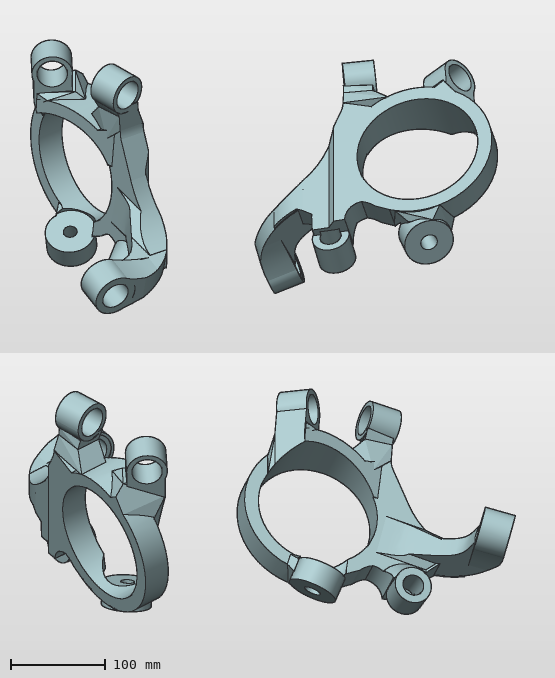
import cadquery as cq
import math

RING_RADIUS = 80.25
BORE_RADIUS = 65.0
RING_FRONT_Y = -30.0
WEB_BACK_Y = -10.0
FAR = 300.0
HOLE_OVERRUN = 5.0

LEFT_BOSS_BACK = cq.Vector(-38.9, -33.0, 110.9)
LEFT_BOSS_FRONT = cq.Vector(-11.5, -51.8, 108.3)
LEFT_BOSS_RADIUS = 21.5
LEFT_HOLE_RADIUS = 16.0
POST_SIDE = 19.2
POST_REAR = 21.3
POST_BREAK_DROP = 34.5
POST_FOOT_SIDE = 9.0
POST_DROP = 80.0

SHOULDER_REACH = 80.0
SHOULDER_EDGE_X = 62.5
SHOULDER_LEAN = 0.115
SHOULDER_SLOPE = 0.36

TOP_BOSS_LEFT = cq.Vector(51.2, -28.6, 118.1)
TOP_BOSS_RIGHT = cq.Vector(83.6, -23.0, 115.0)
TOP_BOSS_RADIUS = 21.5
TOP_HOLE_RADIUS = 16.0

ARM_BOSS_RADIUS = 23.4
ARM_HOLE_RADIUS = 15.2
ARM_RECESS_RADIUS = 20.2
ARM_RECESS_DEPTH = 1.0

LUG_FRONT = cq.Vector(97.6, -54.0, -91.0)
LUG_LENGTH = 35.0
LUG_TILT = math.radians(9.0)
LUG_RADIUS = 19.8
LUG_HOLE_RADIUS = 11.3
LUG_COLLAR = 8.5
LUG_CONE_LENGTH = 19.5
LUG_CONE_RADIUS = 34.5

DISC_TOP = cq.Vector(2.1, -38.3, -78.2)
DISC_BOTTOM = cq.Vector(-6.2, -30.2, -101.2)
DISC_RADIUS = 26.5
DISC_TOP_HOLE_RADIUS = 7.2
DISC_BOTTOM_HOLE_RADIUS = 9.0
SPOTFACE_RADIUS = 27.6
SPOTFACE_HEIGHT = 40.0

ARM_SLOPE = math.radians(13.2)
ARM_ALONG = cq.Vector(math.cos(ARM_SLOPE), 0, -math.sin(ARM_SLOPE))
ARM_ACROSS = cq.Vector(math.sin(ARM_SLOPE), 0, math.cos(ARM_SLOPE))
ARM_ROOT = 72.3
ARM_CENTRE = -8.0
ARM_HALF_WIDTH = 11.0
ARM_FOOT_TOP = 20.5
ARM_FOOT_BOTTOM = -26.8
ARM_FOOT_TOP_Y = -50.0
ARM_FOOT_BOTTOM_Y = -36.0
ARM_BACK_BEND = 128.0
ARM_BACK_MIDDLE = (165.5, -29.0)
ARM_BACK_TIP = (195.5, -77.0)
ARM_INNER_TIP = (159.3, -88.6)
ARM_BAR_END_Y = -105.0
GUSSET_START_Y = -53.0
GUSSET_MIDDLE_Y = -78.5
GUSSET_MIDDLE_HALF_WIDTH = 14.8
GUSSET_TOUCH_ANGLE = math.radians(30)
ARM_BOSS_YAW = 0.115
ARM_BOSS_START = 160.3
ARM_BOSS_END = 193.0
ARM_BOSS_Y = -109.6


def arm_point(along, y, across):
    """Point given by its place along, in front of and across the steering arm."""
    return ARM_ALONG * along + cq.Vector(0, y, 0) + ARM_ACROSS * across


ARM_BOSS_LEFT = arm_point(ARM_BOSS_START, ARM_BOSS_Y, ARM_CENTRE)
ARM_BOSS_RIGHT = arm_point(
    ARM_BOSS_END, ARM_BOSS_Y - ARM_BOSS_YAW * (ARM_BOSS_END - ARM_BOSS_START), ARM_CENTRE
)


def cylinder(start, end, radius, overrun=0.0):
    """Cylinder between two end centres, lengthened at both ends by overrun."""
    axis = (end - start).normalized()
    length = (end - start).Length + 2 * overrun
    return cq.Workplane(obj=cq.Solid.makeCylinder(radius, length, start - axis * overrun, axis))


def convex_hull(corners):
    """Solid with flat faces wrapped around a small set of corner points."""
    points = [cq.Vector(*corner) for corner in corners]
    count = len(points)
    tolerance = 1e-6
    faces = {}
    for i in range(count):
        for j in range(i + 1, count):
            for k in range(j + 1, count):
                normal = (points[j] - points[i]).cross(points[k] - points[i]).normalized()
                heights = [(point - points[i]).dot(normal) for point in points]
                if min(heights) < -tolerance and max(heights) > tolerance:
                    continue
                on_face = [n for n in range(count) if abs(heights[n]) <= tolerance]
                middle = sum((points[n] for n in on_face), cq.Vector()) * (1 / len(on_face))
                start = (points[i] - middle).normalized()
                side = normal.cross(start)
                on_face.sort(
                    key=lambda n: math.atan2((points[n] - middle).dot(side), (points[n] - middle).dot(start))
                )
                wire = cq.Wire.makePolygon([points[n] for n in on_face], close=True)
                faces[frozenset(on_face)] = cq.Face.makeFromWires(wire)
    return cq.Workplane(obj=cq.Solid.makeSolid(cq.Shell.makeShell(list(faces.values()))))


def ring():
    """Plain disc of the bearing ring, before boring."""
    return cq.Workplane("XZ").circle(RING_RADIUS).extrude(-RING_FRONT_Y)


def web_outline():
    """Side web spreading from the ring to the top boss, the steering arm and the lug."""
    return (
        cq.Workplane("XZ")
        .moveTo(40, 60)
        .lineTo(80.2, 72.8)
        .threePointArc((80.6, 67.5), (81.8, 63.1))
        .lineTo(99.4, 21.6)
        .threePointArc((118.0, -7.3), (160.6, -34.4))
        .lineTo(160.6, -56.0)
        .lineTo(132.6, -49.4)
        .threePointArc((123.5, -55.2), (116.0, -60.2))
        .lineTo(115.4, -81.0)
        .lineTo(78.3, -80.0)
        .threePointArc((72.3, -65.5), (60.0, -59.4))
        .threePointArc((51.5, -63.0), (45.6, -67.4))
        .lineTo(30.0, -74.5)
        .close()
    )


def web():
    """Web with its front and back stepped to follow the arm's plan shape."""
    plan = (
        cq.Workplane("XY")
        .moveTo(0, 0)
        .lineTo(90, 0)
        .lineTo(97.5, WEB_BACK_Y)
        .lineTo(125.3, WEB_BACK_Y)
        .threePointArc((145.5, -17.4), (161, -29))
        .lineTo(161, -49.7)
        .lineTo(131.5, -38.7)
        .lineTo(118, RING_FRONT_Y)
        .lineTo(0, RING_FRONT_Y)
        .close()
        .extrude(FAR, both=True)
    )
    return web_outline().extrude(FAR).intersect(plan)


def arm_plan(inner_edge):
    """Solid swept across the arm, its outer side following the arm's back curve."""
    plane = cq.Plane(ARM_ACROSS * -FAR, ARM_ALONG, ARM_ACROSS)
    outer_edge = (
        cq.Workplane(plane)
        .moveTo(ARM_BACK_BEND, WEB_BACK_Y)
        .threePointArc(ARM_BACK_MIDDLE, ARM_BACK_TIP)
    )
    return inner_edge(outer_edge).close().extrude(2 * FAR)


def arm_inner_edge(sketch):
    """Front curve of the arm, leaving the web face almost flush and turning forward."""
    return (
        sketch
        .lineTo(ARM_BOSS_END, ARM_BAR_END_Y)
        .lineTo(ARM_BOSS_START + 2, ARM_BAR_END_Y)
        .lineTo(*ARM_INNER_TIP)
        .spline(
            [(154.2, -71.0), (137.0, -54.0), (108.0, -37.8), (ARM_ROOT, RING_FRONT_Y)],
            tangents=[(-0.15, 1), (-1, 0.1)],
            includeCurrent=True,
        )
        .lineTo(ARM_ROOT, WEB_BACK_Y)
    )


def arm():
    """Curved bar with a foot that tapers from the web face down to the width of the bar."""
    plane = cq.Plane((0, 0, 0), ARM_ACROSS, ARM_ALONG * -1)
    bar = (
        cq.Workplane(plane)
        .center(ARM_CENTRE, 0)
        .rect(2 * ARM_HALF_WIDTH, 2 * FAR)
        .extrude(-FAR)
    )
    foot = (
        cq.Workplane(plane)
        .polyline([
            (ARM_FOOT_TOP, RING_FRONT_Y),
            (ARM_CENTRE + ARM_HALF_WIDTH, ARM_FOOT_TOP_Y),
            (ARM_CENTRE - ARM_HALF_WIDTH, ARM_FOOT_BOTTOM_Y),
            (ARM_FOOT_BOTTOM, RING_FRONT_Y),
        ])
        .close()
        .extrude(-FAR)
        .intersect(web_outline().extrude(FAR))
    )
    return bar.union(foot).intersect(arm_plan(arm_inner_edge))


def arm_boss():
    """Boss at the arm tip with a gusset that widens from the arm to the boss."""
    axis = ARM_BOSS_RIGHT - ARM_BOSS_LEFT
    boss = cylinder(ARM_BOSS_LEFT, ARM_BOSS_RIGHT, ARM_BOSS_RADIUS)
    start_y = ARM_BOSS_Y - GUSSET_START_Y
    touch_across = ARM_BOSS_RADIUS * math.cos(GUSSET_TOUCH_ANGLE)
    touch_y = -ARM_BOSS_RADIUS * math.sin(GUSSET_TOUCH_ANGLE)
    middle_across = GUSSET_MIDDLE_HALF_WIDTH
    middle_y = ARM_BOSS_Y - GUSSET_MIDDLE_Y
    gusset = (
        cq.Workplane(cq.Plane(ARM_BOSS_LEFT, ARM_ACROSS, axis))
        .moveTo(ARM_HALF_WIDTH, start_y)
        .threePointArc((middle_across, middle_y), (touch_across, touch_y))
        .lineTo(-touch_across, touch_y)
        .threePointArc((-middle_across, middle_y), (-ARM_HALF_WIDTH, start_y))
        .close()
        .extrude(axis.Length)
    )
    trim = arm_plan(lambda sketch: sketch.lineTo(ARM_BACK_TIP[0], -FAR).lineTo(ARM_BACK_BEND, -FAR))
    return boss.union(gusset.intersect(trim))


LEFT_AXIS = (LEFT_BOSS_FRONT - LEFT_BOSS_BACK).normalized()
LEFT_LENGTH = (LEFT_BOSS_FRONT - LEFT_BOSS_BACK).Length
LEFT_REAR = cq.Vector(-LEFT_AXIS.y, LEFT_AXIS.x, 0).normalized()
LEFT_PLANE = cq.Plane(LEFT_BOSS_BACK, LEFT_REAR, LEFT_AXIS)


def left_post(rear, length):
    """Upright post under the left boss; its outer side leans inward below the break."""
    return (
        cq.Workplane(LEFT_PLANE)
        .polyline([
            (-POST_SIDE, 0),
            (-POST_SIDE, -POST_BREAK_DROP),
            (-POST_FOOT_SIDE, -POST_DROP),
            (rear, -POST_DROP),
            (rear, 0),
        ])
        .close()
        .extrude(length)
    )


def shoulder():
    """Upper ring and web thickened forward to a slanted front plane."""
    outline = cq.Workplane("XZ").circle(RING_RADIUS).extrude(SHOULDER_REACH)
    outline = outline.union(web_outline().extrude(SHOULDER_REACH))
    behind_web = cq.Workplane("XZ").rect(FAR, FAR).extrude(-WEB_BACK_Y)
    edge = cq.Vector(SHOULDER_EDGE_X, RING_FRONT_Y, 0)
    normal = cq.Vector(SHOULDER_SLOPE, -1, -SHOULDER_SLOPE * SHOULDER_LEAN)
    slanted_plane = cq.Plane(edge, (1, SHOULDER_SLOPE, 0), normal)
    ahead = cq.Workplane(slanted_plane).rect(2 * FAR, 2 * FAR).extrude(FAR)
    return outline.intersect(left_post(FAR, FAR)).cut(behind_web).cut(ahead)


def left_mount():
    """Left boss on its post, with a faceted foot spreading onto the ring."""
    boss = cylinder(LEFT_BOSS_BACK, LEFT_BOSS_FRONT, LEFT_BOSS_RADIUS)
    post = left_post(POST_REAR, LEFT_LENGTH)
    foot = convex_hull([
        (-28, 0, 85.4), (-25, -12, 95.2), (2.5, -31.5, 87), (11.4, -25, 80), (-18.6, 0, 77.8),
        (-51.3, -47.7, 77.3), (-55, -30, 57.5), (-40.8, 0, 68.7), (-55.5, -32, 33),
        (-23, -64.3, 84.8), (-10, -59.4, 79.5), (-24.5, -64.2, 70),
    ])
    return boss.union(post).union(foot).union(shoulder())


def top_mount():
    """Top boss on a faceted neck that narrows to a waist."""
    boss = cylinder(TOP_BOSS_LEFT, TOP_BOSS_RIGHT, TOP_BOSS_RADIUS)
    waist = [(50, -9, 91), (50, -36, 91), (81, -7, 91), (81, -32, 91)]
    lower_neck = convex_hull(waist + [
        (31.3, 0, 73), (31.3, -32, 73), (60, -33, 56.2), (70.9, -30, 72.8), (80.2, -30, 72.8),
        (80.2, 0, 72.8),
    ])
    upper_neck = convex_hull(waist + [
        (51, -13, 101), (51, -42, 101), (81.5, -8, 101), (81.5, -37, 101),
    ])
    return boss.union(lower_neck).union(upper_neck)


LUG_AXIS = cq.Vector(0, math.cos(LUG_TILT), math.sin(LUG_TILT))
LUG_BACK = LUG_FRONT + LUG_AXIS * LUG_LENGTH


def lug():
    """Tilted lug below the web, blended into it by a cone trimmed to the web outline."""
    barrel = cylinder(LUG_FRONT, LUG_BACK, LUG_RADIUS)
    cone_start = LUG_FRONT + LUG_AXIS * LUG_COLLAR
    cone = cq.Workplane(
        obj=cq.Solid.makeCone(LUG_RADIUS, LUG_CONE_RADIUS, LUG_CONE_LENGTH, cone_start, LUG_AXIS)
    )
    return barrel.union(cone.intersect(web_outline().extrude(FAR)))


def disc_mount():
    """Tilted disc below the ring, joined to it by a faceted neck."""
    disc = cylinder(DISC_TOP, DISC_BOTTOM, DISC_RADIUS)
    neck = convex_hull([
        (-30, -30, -60), (31, -30, -58), (-30, 0, -60), (31, 0, -58),
        (-33.5, -30, -72.6), (31, -30, -74), (-24, 0, -77), (24, 0, -77),
        (-23, -38, -69), (-28.5, -38, -85), (18, -39, -82), (-15, -8, -89), (12, -10, -86),
    ])
    return disc.union(neck)


def disc_spotface():
    """Clearance above the disc's upper face."""
    axis = (DISC_TOP - DISC_BOTTOM).normalized()
    return cylinder(DISC_TOP, DISC_TOP + axis * SPOTFACE_HEIGHT, SPOTFACE_RADIUS)


def disc_hole():
    """Tapered hole through the disc, wider at the bottom."""
    axis = DISC_BOTTOM - DISC_TOP
    return cq.Workplane(
        obj=cq.Solid.makeCone(DISC_TOP_HOLE_RADIUS, DISC_BOTTOM_HOLE_RADIUS, axis.Length, DISC_TOP, axis)
    )


body = ring()
for feature in (web(), arm(), arm_boss(), left_mount(), top_mount(), lug(), disc_mount()):
    body = body.union(feature)

bore = cq.Workplane("XZ").circle(BORE_RADIUS).extrude(FAR, both=True)
arm_axis = (ARM_BOSS_RIGHT - ARM_BOSS_LEFT).normalized()
cutters = (
    bore,
    cylinder(LEFT_BOSS_BACK, LEFT_BOSS_FRONT, LEFT_HOLE_RADIUS, HOLE_OVERRUN),
    cylinder(TOP_BOSS_LEFT, TOP_BOSS_RIGHT, TOP_HOLE_RADIUS, HOLE_OVERRUN),
    cylinder(ARM_BOSS_LEFT, ARM_BOSS_RIGHT, ARM_HOLE_RADIUS, HOLE_OVERRUN),
    cylinder(ARM_BOSS_LEFT, ARM_BOSS_LEFT + arm_axis * ARM_RECESS_DEPTH, ARM_RECESS_RADIUS),
    cylinder(LUG_FRONT, LUG_BACK, LUG_HOLE_RADIUS, HOLE_OVERRUN),
    disc_spotface(),
    disc_hole(),
)
for cutter in cutters:
    body = body.cut(cutter)

result = body